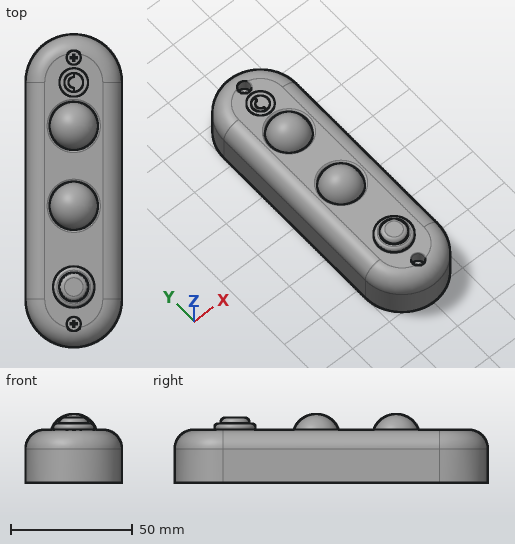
import cadquery as cq
import math

HOUSING_LENGTH = 129.5
HOUSING_WIDTH = 40.0
HOUSING_HEIGHT = 22.0
TOP_ROUND = 8.0

BALL_MOUTH_ROUND = 1.0
BUTTON_MOUTH_ROUND = 1.0
SCREW_MOUTH_ROUND = 0.3

BALL_RADIUS = 10.0
BALL_TOP = 28.5
BALL_SPACING = 33.0
FIRST_BALL_Y = 26.8
BALL_COUNT = 2

BUTTON_INSET = 5.0
SHANK_RADIUS = 7.8
SEAT_DEPTH = 5.0
COLLAR_TOP_RADIUS = 6.95
COLLAR_ROUND = 1.6
COLLAR_TOP = 24.5
CAP_RADIUS = 6.05
CAP_FLAT_RADIUS = 3.85
CAP_TOP = 27.0
NECK_RADIUS = 5.7

SCREW_OFFSET_Y = 55.0
SCREW_HOLE_RADIUS = 2.9
SCREW_HOLE_DEPTH = 6.0
CROSS_LENGTH = 2.6
CROSS_WIDTH = 0.6
CROSS_DEPTH = 1.0

INDICATOR_RADIUS = 5.9
INDICATOR_DEPTH = 0.1
INDICATOR_STEP_RADIUS = 3.9
INDICATOR_STEP_DEPTH = 0.2
GROOVE_INNER_RADIUS = 2.2
GROOVE_DEPTH = 0.4

END_CENTER_Y = (HOUSING_LENGTH - HOUSING_WIDTH) / 2
BUTTON_Y = -(END_CENTER_Y - BUTTON_INSET)
ball_center_z = BALL_TOP - BALL_RADIUS
ball_positions = [FIRST_BALL_Y - i * BALL_SPACING for i in range(BALL_COUNT)]


def disc(y, z, radius, height):
    """Upright cylinder on the part's centre line, starting at height z."""
    return cq.Workplane("XY", origin=(0, y, z)).circle(radius).extrude(height)


def spin(profile):
    """Turn a half profile, drawn in an XZ workplane, about that workplane's vertical axis."""
    return profile.close().revolve(360, (0, 0, 0), (0, 1, 0))


def mouth(y, hole_radius, rounding):
    """Cutter that rounds over the top edge of a hole."""
    foot_z = HOUSING_HEIGHT - rounding
    mid_offset = rounding * (1 - math.sqrt(0.5))
    return spin(
        cq.Workplane("XZ", origin=(0, y, 0))
        .moveTo(0, foot_z)
        .lineTo(hole_radius, foot_z)
        .threePointArc(
            (hole_radius + mid_offset, HOUSING_HEIGHT - mid_offset),
            (hole_radius + rounding, HOUSING_HEIGHT),
        )
        .lineTo(0, HOUSING_HEIGHT)
    )


def make_ball(y):
    return cq.Workplane("XY", origin=(0, y, ball_center_z)).sphere(BALL_RADIUS)


def ball_socket(y):
    bore = disc(y, ball_center_z, BALL_RADIUS, HOUSING_HEIGHT - ball_center_z)
    return make_ball(y).union(bore).union(mouth(y, BALL_RADIUS, BALL_MOUTH_ROUND))


def screw_hole(y):
    floor_z = HOUSING_HEIGHT - SCREW_HOLE_DEPTH
    hole = disc(y, floor_z, SCREW_HOLE_RADIUS, SCREW_HOLE_DEPTH)
    cross_plane = cq.Workplane("XY", origin=(0, y, floor_z))
    arm_x = cross_plane.rect(CROSS_LENGTH, CROSS_WIDTH).extrude(-CROSS_DEPTH)
    arm_y = cross_plane.rect(CROSS_WIDTH, CROSS_LENGTH).extrude(-CROSS_DEPTH)
    return hole.union(arm_x).union(arm_y).union(mouth(y, SCREW_HOLE_RADIUS, SCREW_MOUTH_ROUND))


def indicator_recess():
    ring_floor = HOUSING_HEIGHT - INDICATOR_DEPTH
    step_floor = ring_floor - INDICATOR_STEP_DEPTH
    ring = disc(END_CENTER_Y, ring_floor, INDICATOR_RADIUS, INDICATOR_DEPTH)
    step = disc(END_CENTER_Y, step_floor, INDICATOR_STEP_RADIUS, INDICATOR_STEP_DEPTH)
    groove = (
        cq.Workplane("XY", origin=(0, END_CENTER_Y, step_floor))
        .moveTo(0, INDICATOR_STEP_RADIUS)
        .threePointArc((-INDICATOR_STEP_RADIUS, 0), (0, -INDICATOR_STEP_RADIUS))
        .lineTo(0, -GROOVE_INNER_RADIUS)
        .threePointArc((-GROOVE_INNER_RADIUS, 0), (0, GROOVE_INNER_RADIUS))
        .close()
        .extrude(-GROOVE_DEPTH)
    )
    return ring.union(step).union(groove)


seat_floor = HOUSING_HEIGHT - SEAT_DEPTH


def button_seat():
    seat = disc(BUTTON_Y, seat_floor, SHANK_RADIUS, SEAT_DEPTH)
    return seat.union(mouth(BUTTON_Y, SHANK_RADIUS, BUTTON_MOUTH_ROUND))


def make_housing():
    body = (
        cq.Workplane("XY")
        .slot2D(HOUSING_LENGTH, HOUSING_WIDTH, 90)
        .extrude(HOUSING_HEIGHT)
        .faces(">Z")
        .edges()
        .fillet(TOP_ROUND)
    )
    for y in ball_positions:
        body = body.cut(ball_socket(y))
    for y in (SCREW_OFFSET_Y, -SCREW_OFFSET_Y):
        body = body.cut(screw_hole(y))
    return body.cut(button_seat()).cut(indicator_recess())


def make_button():
    roll_center_z = COLLAR_TOP - COLLAR_ROUND
    shank_reach = SHANK_RADIUS - COLLAR_TOP_RADIUS
    shank_top = roll_center_z - math.sqrt(COLLAR_ROUND**2 - shank_reach**2)
    cap_round = CAP_RADIUS - CAP_FLAT_RADIUS
    cap_base = CAP_TOP - cap_round
    cap_mid = cap_round * math.sqrt(0.5)
    return spin(
        cq.Workplane("XZ", origin=(0, BUTTON_Y, 0))
        .moveTo(0, seat_floor)
        .lineTo(SHANK_RADIUS, seat_floor)
        .lineTo(SHANK_RADIUS, shank_top)
        .threePointArc(
            (COLLAR_TOP_RADIUS + COLLAR_ROUND, roll_center_z),
            (COLLAR_TOP_RADIUS, COLLAR_TOP),
        )
        .lineTo(NECK_RADIUS, COLLAR_TOP)
        .lineTo(NECK_RADIUS, cap_base)
        .lineTo(CAP_RADIUS, cap_base)
        .threePointArc((CAP_FLAT_RADIUS + cap_mid, cap_base + cap_mid), (CAP_FLAT_RADIUS, CAP_TOP))
        .lineTo(0, CAP_TOP)
    )


housing = make_housing()
balls = [make_ball(y) for y in ball_positions]
button = make_button()

result = cq.Compound.makeCompound([housing.val(), *[ball.val() for ball in balls], button.val()])